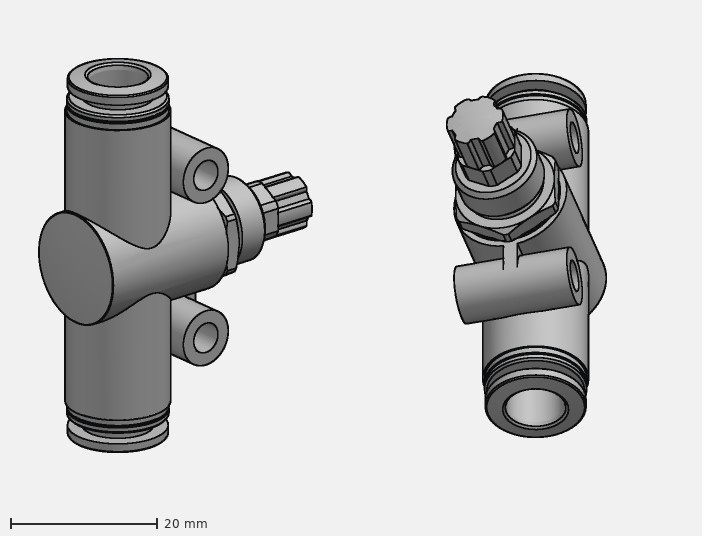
import cadquery as cq
import math


TUBE_DIAMETER = 14.5
TUBE_HALF_LENGTH = 21.4
BORE_DIAMETER = 8.0
BORE_MOUTH_DIAMETER = 9.0
BORE_THROAT_DIAMETER = 8.3
BORE_CHAMFER_DEPTH = 0.3
BORE_MOUTH_DEPTH = 0.9

COLLAR_DIAMETER = 14.0
COLLAR_END = 23.5
COLLAR_CHAMFER = 0.3
COLLAR_GROOVE_DEPTH = 0.2
COLLAR_GROOVE_START = 22.3
COLLAR_GROOVE_END = 22.6
STEM_DIAMETER = 9.8
CAP_START = 25.0
CAP_END = 26.7
CAP_DIAMETER = 13.8
CAP_EDGE_CHAMFER = 0.2
CAP_FACE_RISE = 0.35

BODY_DIAMETER = 16.0
BODY_BACK = 13.0
BODY_FRONT_RIM = -7.5
BODY_RIM_CHAMFER = 0.1
DOME_APEX = -8.35

LUG_DIAMETER = 8.0
LUG_HOLE_DIAMETER = 4.3
LUG_LENGTH = BODY_DIAMETER
LUG_CENTER_Y = BODY_BACK - LUG_DIAMETER / 2
LUG_CENTER_Z = (BODY_DIAMETER + LUG_DIAMETER) / 2
WEB_THICKNESS = 2.0

NUT_FLATS = 14.0
NUT_CORNER_DIAMETER = 15.76
NUT_START = 13.4
NUT_END = 15.75
NUT_FRONT_CHAMFER = 0.25
NUT_BACK_CHAMFER = 0.5
NUT_SEAT_DIAMETER = 14.2

NECK_DIAMETER = 10.4
NECK_FLARE_DIAMETER = 11.0
NECK_WAIST = 16.35
KNOB_COLLAR_DIAMETER = 12.0
KNOB_COLLAR_END = 21.75
KNOB_COLLAR_CHAMFER = 0.65

SPINDLE_FLATS = 8.0
SPINDLE_CORNER_DIAMETER = 8.66
SPINDLE_END = 25.2
KNOB_DIAMETER = SPINDLE_FLATS
KNOB_RIM = 31.2
KNOB_APEX = 31.65
FLUTE_COUNT = 6
FLUTE_FLOOR_RADIUS = 3.4
FLUTE_FLOOR_WIDTH = 1.04
FLUTE_WALL_RISE = 0.3
FLUTE_WALL_SPREAD = 0.25
FLUTE_MOUTH_WIDTH = 2.2

HEX_SIDES = 6


def y_plane(y):
    """Workplane at height y whose normal is +Y and whose local X is world X."""
    return cq.Workplane(cq.Plane(origin=(0, y, 0), xDir=(1, 0, 0), normal=(0, 1, 0)))


def turned_about_y(points):
    """Solid of revolution about Y from (radius, y) points."""
    return cq.Workplane("XY").polyline(points).close().revolve(360, (0, 0), (0, 1))


def hex_prism(flats, y_start, y_end):
    """Hexagonal prism along Y with two flats facing -X and +X."""
    corner_diameter = flats / math.cos(math.pi / HEX_SIDES)
    prism = y_plane(y_start).polygon(HEX_SIDES, corner_diameter).extrude(y_end - y_start)
    return prism.rotate((0, 0, 0), (0, 1, 0), 180 / HEX_SIDES)


def make_connector():
    """Turned upper end: grooved collar, stem and release cap."""
    collar = COLLAR_DIAMETER / 2
    groove = collar - COLLAR_GROOVE_DEPTH
    stem = STEM_DIAMETER / 2
    cap = CAP_DIAMETER / 2
    cap_face_edge = CAP_END - CAP_FACE_RISE
    profile = [
        (0, 0),
        (collar, 0),
        (collar, COLLAR_GROOVE_START),
        (groove, COLLAR_GROOVE_START),
        (groove, COLLAR_GROOVE_END),
        (collar, COLLAR_GROOVE_END),
        (collar, COLLAR_END - COLLAR_CHAMFER),
        (collar - COLLAR_CHAMFER, COLLAR_END),
        (stem, COLLAR_END),
        (stem, CAP_START),
        (cap, CAP_START),
        (cap, cap_face_edge - CAP_EDGE_CHAMFER),
        (cap - CAP_EDGE_CHAMFER, cap_face_edge),
        (BORE_MOUTH_DIAMETER / 2, CAP_END),
        (0, CAP_END),
    ]
    return turned_about_y(profile).rotate((0, 0, 0), (1, 0, 0), 90)


def make_tube():
    tube = cq.Workplane("XY").circle(TUBE_DIAMETER / 2).extrude(TUBE_HALF_LENGTH, both=True)
    upper_end = make_connector()
    return tube.union(upper_end).union(upper_end.mirror("XY"))


def make_bore():
    """Through bore along the tube with a chamfered, tapered mouth at each end."""
    bore = BORE_DIAMETER / 2
    mouth = BORE_MOUTH_DIAMETER / 2
    throat = BORE_THROAT_DIAMETER / 2
    chamfer_start = CAP_END - BORE_CHAMFER_DEPTH
    mouth_start = CAP_END - BORE_MOUTH_DEPTH
    profile = [
        (0, -CAP_END),
        (mouth, -CAP_END),
        (throat, -chamfer_start),
        (bore, -mouth_start),
        (bore, mouth_start),
        (throat, chamfer_start),
        (mouth, CAP_END),
        (0, CAP_END),
    ]
    return turned_about_y(profile).rotate((0, 0, 0), (1, 0, 0), 90)


def dome_midpoint(radius, rim, apex):
    """Point halfway out on the spherical cap that joins the rim to the apex."""
    rise = apex - rim
    sphere_radius = (radius**2 + rise**2) / (2 * abs(rise))
    half = radius / 2
    drop = sphere_radius - math.sqrt(sphere_radius**2 - half**2)
    return half, apex - math.copysign(drop, rise)


def make_body():
    radius = BODY_DIAMETER / 2
    dome_radius = radius - BODY_RIM_CHAMFER
    return (
        cq.Workplane("XY")
        .moveTo(0, BODY_BACK)
        .lineTo(radius, BODY_BACK)
        .lineTo(radius, BODY_FRONT_RIM + BODY_RIM_CHAMFER)
        .lineTo(dome_radius, BODY_FRONT_RIM)
        .threePointArc(dome_midpoint(dome_radius, BODY_FRONT_RIM, DOME_APEX), (0, DOME_APEX))
        .close()
        .revolve(360, (0, 0), (0, 1))
    )


def lug_cylinder(side, diameter):
    """Cylinder along X over the lug length, above (side = 1) or below (side = -1) the body."""
    return (
        cq.Workplane("YZ")
        .workplane(offset=-LUG_LENGTH / 2)
        .center(LUG_CENTER_Y, side * LUG_CENTER_Z)
        .circle(diameter / 2)
        .extrude(LUG_LENGTH)
    )


def make_lug(side):
    """Lug with a thin web filling the corner between it and the back of the body."""
    web = (
        cq.Workplane("XY")
        .box(WEB_THICKNESS, LUG_DIAMETER / 2, LUG_CENTER_Z)
        .translate((0, BODY_BACK - LUG_DIAMETER / 4, side * LUG_CENTER_Z / 2))
    )
    return lug_cylinder(side, LUG_DIAMETER).union(web)


def make_nut():
    """Lock nut with turned corners on a short round seat."""
    flat = NUT_FLATS / 2
    corner = NUT_CORNER_DIAMETER / 2
    envelope = turned_about_y([
        (0, NUT_START),
        (flat, NUT_START),
        (corner, NUT_START + NUT_FRONT_CHAMFER),
        (corner, NUT_END - NUT_BACK_CHAMFER),
        (flat, NUT_END),
        (0, NUT_END),
    ])
    seat = y_plane(0).circle(NUT_SEAT_DIAMETER / 2).extrude(NUT_START)
    return hex_prism(NUT_FLATS, NUT_START, NUT_END).intersect(envelope).union(seat)


def make_knob_collar():
    """Round collar whose underside curves into the waisted neck."""
    radius = KNOB_COLLAR_DIAMETER / 2
    neck = NECK_DIAMETER / 2
    fillet = radius - neck
    fillet_offset = fillet * math.sqrt(0.5)
    return (
        cq.Workplane("XY")
        .moveTo(0, NUT_END)
        .lineTo(NECK_FLARE_DIAMETER / 2, NUT_END)
        .lineTo(neck, NECK_WAIST)
        .threePointArc(
            (radius - fillet_offset, NECK_WAIST + fillet_offset),
            (radius, NECK_WAIST + fillet),
        )
        .lineTo(radius, KNOB_COLLAR_END - KNOB_COLLAR_CHAMFER)
        .lineTo(radius - KNOB_COLLAR_CHAMFER, KNOB_COLLAR_END)
        .lineTo(0, KNOB_COLLAR_END)
        .close()
        .revolve(360, (0, 0), (0, 1))
    )


def make_spindle():
    length = SPINDLE_END - KNOB_COLLAR_END
    corners = y_plane(KNOB_COLLAR_END).circle(SPINDLE_CORNER_DIAMETER / 2).extrude(length)
    return hex_prism(SPINDLE_FLATS, KNOB_COLLAR_END, SPINDLE_END).intersect(corners)


def make_half_flute():
    """Cutter for one side of a flute: flat floor, sloping wall and rounded lip."""
    half_floor = FLUTE_FLOOR_WIDTH / 2
    half_mouth = FLUTE_MOUTH_WIDTH / 2
    lip_height = math.sqrt((KNOB_DIAMETER / 2) ** 2 - half_mouth**2)
    return (
        y_plane(SPINDLE_END)
        .moveTo(0, -FLUTE_FLOOR_RADIUS)
        .lineTo(half_floor, -FLUTE_FLOOR_RADIUS)
        .lineTo(half_floor + FLUTE_WALL_SPREAD, -FLUTE_FLOOR_RADIUS - FLUTE_WALL_RISE)
        .tangentArcPoint((half_mouth, -lip_height), relative=False)
        .lineTo(half_mouth, -KNOB_DIAMETER)
        .lineTo(0, -KNOB_DIAMETER)
        .close()
        .extrude(KNOB_APEX - SPINDLE_END)
    )


def make_fluted_knob():
    """Domed round knob with one flute over each corner of the spindle."""
    radius = KNOB_DIAMETER / 2
    knob = (
        cq.Workplane("XY")
        .moveTo(0, SPINDLE_END)
        .lineTo(radius, SPINDLE_END)
        .lineTo(radius, KNOB_RIM)
        .threePointArc(dome_midpoint(radius, KNOB_RIM, KNOB_APEX), (0, KNOB_APEX))
        .close()
        .revolve(360, (0, 0), (0, 1))
    )
    half_flute = make_half_flute()
    flute = half_flute.union(half_flute.mirror("YZ"))
    for index in range(FLUTE_COUNT):
        knob = knob.cut(flute.rotate((0, 0, 0), (0, 1, 0), index * 360 / FLUTE_COUNT))
    return knob


result = make_tube().union(make_body())
for lug_side in (1, -1):
    result = result.union(make_lug(lug_side))
for stage in (make_nut(), make_knob_collar(), make_spindle(), make_fluted_knob()):
    result = result.union(stage)
result = result.cut(make_bore())
for lug_side in (1, -1):
    result = result.cut(lug_cylinder(lug_side, LUG_HOLE_DIAMETER))